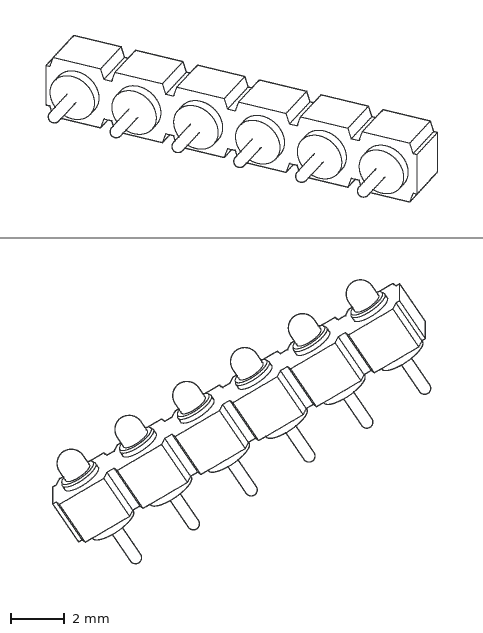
import cadquery as cq
import math

contact_count = 6
row_length = 15.24
pitch = row_length / contact_count

housing_depth = 1.8
housing_height = 2.55
web_height = 1.7
cell_top_width = 1.95
cell_shoulder_width = 2.23

flange_diameter = 1.83
flange_thickness = 0.4
tail_diameter = 0.45
tail_length = 1.78
tail_dome_height = 0.2
tail_root_fillet = 0.08

barrel_diameter = 1.5
barrel_projection = 0.27
barrel_chamfer_width = 0.05
barrel_chamfer_length = 0.09
plunger_diameter = 1.07
plunger_projection = 0.98

housing_front = -housing_depth / 2
housing_rear = housing_depth / 2
contact_centres = [(i - (contact_count - 1) / 2) * pitch for i in range(contact_count)]


def make_housing():
    """Notched bar with one through bore per contact."""
    upper_edge = []
    for x in contact_centres:
        upper_edge += [
            (x - cell_shoulder_width / 2, web_height / 2),
            (x - cell_top_width / 2, housing_height / 2),
            (x + cell_top_width / 2, housing_height / 2),
            (x + cell_shoulder_width / 2, web_height / 2),
        ]
    upper_edge = [(-row_length / 2, web_height / 2)] + upper_edge + [(row_length / 2, web_height / 2)]
    lower_edge = [(x, -z) for x, z in reversed(upper_edge)]

    bar = (
        cq.Workplane("XZ", origin=(0, housing_front, 0))
        .polyline(upper_edge + lower_edge)
        .close()
        .extrude(-housing_depth)
    )
    bores = (
        cq.Workplane("XZ", origin=(0, housing_front, 0))
        .pushPoints([(x, 0) for x in contact_centres])
        .circle(barrel_diameter / 2)
        .extrude(-housing_depth)
    )
    return bar.cut(bores)


def make_contact(x):
    """Spring contact at x: half profile (radius, y) revolved about its own Y-direction axis."""
    tail_radius = tail_diameter / 2
    flange_radius = flange_diameter / 2
    barrel_radius = barrel_diameter / 2
    plunger_radius = plunger_diameter / 2
    quarter_arc = math.sqrt(0.5)

    flange_front = housing_front - flange_thickness
    tail_tip = flange_front - tail_length
    tail_dome_base = tail_tip + tail_dome_height
    barrel_end = housing_rear + barrel_projection
    plunger_tip = barrel_end + plunger_projection
    plunger_dome_base = plunger_tip - plunger_radius

    cap_radius = (tail_radius**2 + tail_dome_height**2) / (2 * tail_dome_height)
    cap_half_angle = math.atan2(tail_dome_height, tail_radius)
    tail_dome_middle = (
        cap_radius * math.sin(cap_half_angle),
        tail_tip + cap_radius * (1 - math.cos(cap_half_angle)),
    )

    fillet_centre_r = tail_radius + tail_root_fillet
    fillet_centre_y = flange_front - tail_root_fillet
    fillet_middle = (
        fillet_centre_r - tail_root_fillet * quarter_arc,
        fillet_centre_y + tail_root_fillet * quarter_arc,
    )

    profile = (
        cq.Workplane("XY")
        .moveTo(0, tail_tip)
        .threePointArc(tail_dome_middle, (tail_radius, tail_dome_base))
        .lineTo(tail_radius, fillet_centre_y)
        .threePointArc(fillet_middle, (fillet_centre_r, flange_front))
        .lineTo(flange_radius, flange_front)
        .lineTo(flange_radius, housing_front)
        .lineTo(barrel_radius, housing_front)
        .lineTo(barrel_radius, barrel_end - barrel_chamfer_length)
        .lineTo(barrel_radius - barrel_chamfer_width, barrel_end)
        .lineTo(plunger_radius, barrel_end)
        .lineTo(plunger_radius, plunger_dome_base)
        .threePointArc(
            (plunger_radius * quarter_arc, plunger_dome_base + plunger_radius * quarter_arc),
            (0, plunger_tip),
        )
        .close()
    )
    return profile.revolve(360, (0, 0, 0), (0, 1, 0)).translate((x, 0, 0))


housing = make_housing()
contacts = [make_contact(x) for x in contact_centres]

result = cq.Compound.makeCompound([housing.val(), *[contact.val() for contact in contacts]])